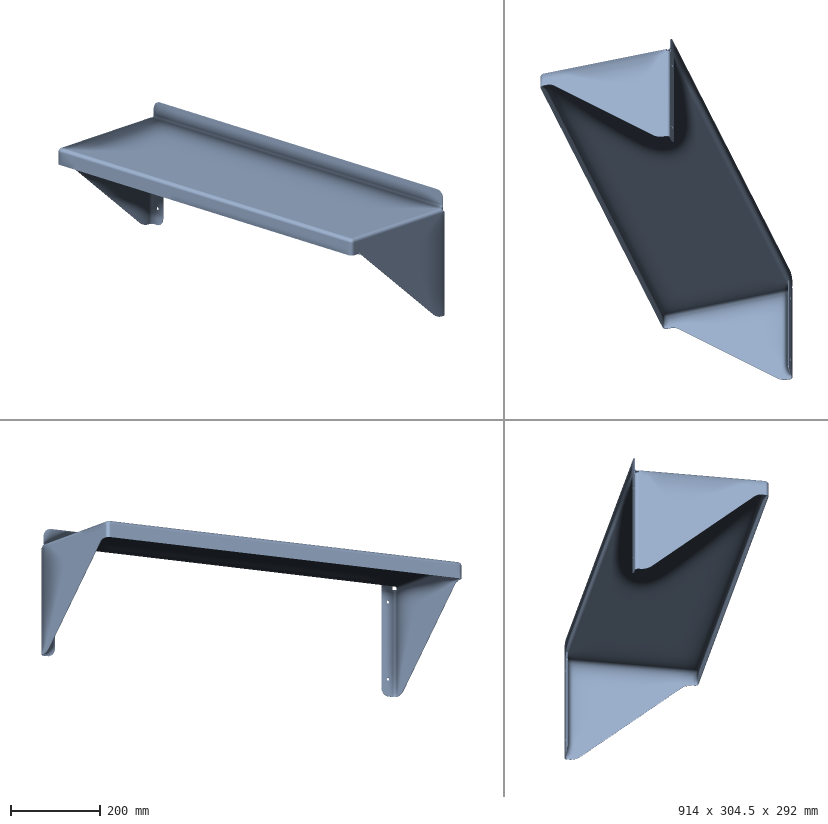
import cadquery as cq
import math

overall_length = 914.0
depth = 304.5
height = 292.0
sheet = 1.5

boss_height = 1.4
width = overall_length - boss_height
lip_height = 38.0
upstand_height = 38.0
shelf_top = height - upstand_height
lip_bottom = shelf_top - lip_height
bend_radius = 8.0
upstand_bend_radius = 5.5
upstand_width = width - 2 * bend_radius
upstand_corner_radius = 18.0

bracket_top = shelf_top - bend_radius
bracket_front = -depth + bend_radius
toe_depth = 26.5
knee_depth = 278.0
toe_radius = 41.0
knee_radius = 25.0
wall_flange_width = 37.0
wall_flange_corner_radius = 18.0
hole_diameter = 6.8
hole_inset = 20.0
hole_heights = (39.0, 216.0)
boss_diameter = 5.5


def rounded_pan(inset):
    """Solid block inset from the pan's outer skin, rounded on its bent edges, open side at the back."""
    block = cq.Workplane("XY").box(
        width - 2 * inset, depth - inset, lip_height - inset, centered=(True, False, False)
    ).translate((0, -depth + inset, lip_bottom))
    bent_edges = block.edges("|Z and <Y").add(block.edges(">Z and |Y")).add(block.edges(">Z and <Y"))
    return bent_edges.fillet(bend_radius - inset)


def make_pan():
    """Top sheet with front lip and rounded front corners; the side bends end on the brackets."""
    pan = rounded_pan(0).cut(rounded_pan(sheet))
    pan = pan.cut(
        cq.Workplane("XY").box(width, -bracket_front, bracket_top - lip_bottom, centered=(True, False, False))
        .translate((0, bracket_front, lip_bottom))
    )
    bend_zone = upstand_bend_radius + sheet
    pan = pan.cut(
        cq.Workplane("XY").box(width, bend_zone, lip_height, centered=(True, False, False))
        .translate((0, -bend_zone, lip_bottom))
    )
    relief = cq.Workplane("XY").box(bend_radius, 2 * bend_radius, lip_height, centered=(True, True, False))
    for side in (-1, 1):
        pan = pan.cut(relief.translate((side * (width - bend_radius) / 2, 0, lip_bottom)))
    return pan


def make_upstand():
    """Rear upstand, joined to the top sheet by a bend."""
    outer = upstand_bend_radius + sheet
    bend_center_z = shelf_top + upstand_bend_radius
    diagonal = math.sqrt(0.5)
    upstand = (
        cq.Workplane("YZ")
        .moveTo(-outer, shelf_top - sheet)
        .threePointArc((-outer + outer * diagonal, bend_center_z - outer * diagonal), (0, bend_center_z))
        .lineTo(0, height)
        .lineTo(-sheet, height)
        .lineTo(-sheet, bend_center_z)
        .threePointArc(
            (-outer + upstand_bend_radius * diagonal, bend_center_z - upstand_bend_radius * diagonal),
            (-outer, shelf_top),
        )
        .close()
        .extrude(upstand_width / 2, both=True)
    )
    return upstand.edges(">Z and |Y").fillet(upstand_corner_radius)


def bracket_side_blank():
    """Side outline of a bracket, extruded across the full width."""
    blank = (
        cq.Workplane("YZ")
        .polyline([
            (0, 0),
            (-toe_depth, 0),
            (-knee_depth, lip_bottom),
            (bracket_front, lip_bottom),
            (bracket_front, bracket_top),
            (0, bracket_top),
        ])
        .close()
        .extrude(width / 2, both=True)
    )
    toe_point = cq.selectors.NearestToPointSelector((0, -toe_depth, 0))
    knee_point = cq.selectors.NearestToPointSelector((0, -knee_depth, lip_bottom))
    blank = blank.edges("|X").edges(toe_point).fillet(toe_radius)
    return blank.edges("|X").edges(knee_point).fillet(knee_radius)


def make_left_bracket():
    """Side panel bent round to a wall flange with two screw holes."""
    left = -width / 2
    outer = (
        cq.Workplane("XY").box(wall_flange_width, depth, bracket_top, centered=False)
        .translate((left, -depth, 0))
        .edges("|Z and >Y and <X").fillet(bend_radius)
    )
    inner = (
        cq.Workplane("XY").box(wall_flange_width, depth, bracket_top, centered=False)
        .translate((left + sheet, -depth - sheet, 0))
        .edges("|Z and >Y and <X").fillet(bend_radius - sheet)
    )
    bracket = outer.cut(inner).intersect(bracket_side_blank())
    bracket = bracket.edges("|Y and >X and <Z").fillet(wall_flange_corner_radius)
    tab = cq.Workplane("XY").box(
        wall_flange_width - bend_radius, sheet, shelf_top, centered=False
    ).translate((left + bend_radius, -sheet, 0))
    tab = tab.edges("|Y and >X and <Z").fillet(wall_flange_corner_radius)
    bracket = bracket.union(tab)
    holes = (
        cq.Workplane("XZ")
        .pushPoints([(left + hole_inset, z) for z in hole_heights])
        .circle(hole_diameter / 2)
        .extrude(2 * sheet, both=True)
    )
    return bracket.cut(holes)


def make_bracket(side):
    """Bracket for one end (-1 left, 1 right); the right one has a small round boss at its knee."""
    bracket = make_left_bracket()
    if side < 0:
        return bracket
    boss = (
        cq.Workplane("YZ", origin=(width / 2 - sheet, -knee_depth, lip_bottom))
        .circle(boss_diameter / 2)
        .extrude(sheet + boss_height)
    )
    return bracket.mirror("YZ").union(boss)


shelf = make_pan().union(make_upstand())
brackets = [make_bracket(side) for side in (-1, 1)]

result = cq.Compound.makeCompound([shelf.val(), *[bracket.val() for bracket in brackets]])